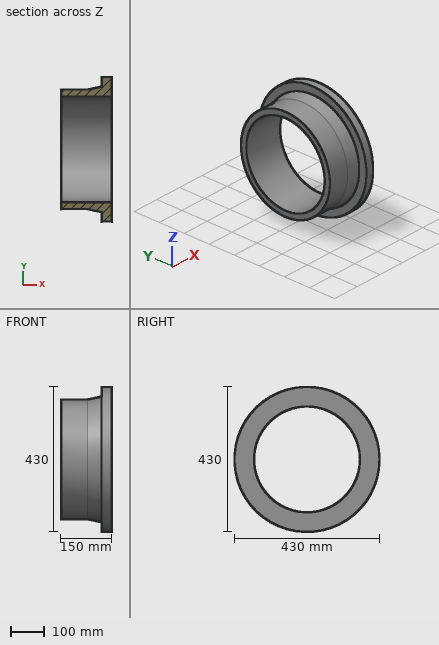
import cadquery as cq

total_length = 150.0
flange_thickness = 30.0
pipe_length = 78.3
flange_radius = 430 / 2
cone_end_radius = 373.0 / 2
pipe_radius = 355.0 / 2
bore_radius = 312.5 / 2

flange_start = total_length - flange_thickness

half_section = (
    cq.Workplane("XY")
    .moveTo(0, bore_radius)
    .lineTo(0, pipe_radius)
    .lineTo(pipe_length, pipe_radius)
    .lineTo(flange_start, cone_end_radius)
    .lineTo(flange_start, flange_radius)
    .lineTo(total_length, flange_radius)
    .lineTo(total_length, bore_radius)
    .close()
)

result = half_section.revolve(360, (0, 0, 0), (1, 0, 0))